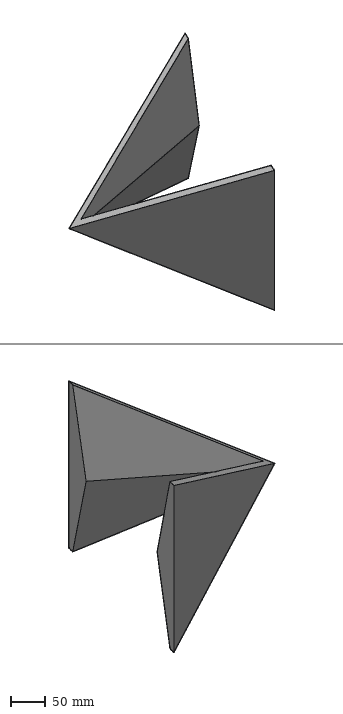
import cadquery as cq

width = 300.0
depth = 259.0
height = 300.0
edge_thickness = 11.5
ridge_thickness = 49.0
ridge_setback = 0.5

half_width = width / 2
half_height = height / 2
front_y = -depth / 2
back_y = depth / 2
edge_setback = ridge_setback * edge_thickness / ridge_thickness


def flat_face(*points):
    return cq.Face.makeFromWires(cq.Wire.makePolygon([cq.Vector(*p) for p in points], close=True))


def wing_blank():
    """Right-hand wing, running past the plane x = 0 at its front tip."""
    inner_x = half_width - edge_thickness
    inner_y = back_y - edge_setback
    inner_z = half_height * (inner_y - front_y) / depth
    tip = (0, front_y, 0)
    inner_tip = (-edge_thickness, front_y, 0)
    top = (half_width, back_y, half_height)
    bottom = (half_width, back_y, -half_height)
    inner_top = (inner_x, inner_y, inner_z)
    inner_bottom = (inner_x, inner_y, -inner_z)
    ridge_end = (half_width - ridge_thickness, back_y - ridge_setback, 0)
    faces = [
        flat_face(tip, bottom, top),
        flat_face(tip, top, inner_top, inner_tip),
        flat_face(tip, inner_tip, inner_bottom, bottom),
        flat_face(inner_tip, inner_top, ridge_end),
        flat_face(inner_tip, ridge_end, inner_bottom),
        flat_face(top, bottom, inner_bottom, ridge_end, inner_top),
    ]
    return cq.Workplane(cq.Solid.makeSolid(cq.Shell.makeShell(faces)))


right_side = cq.Workplane().box(width, 2 * depth, 2 * height, centered=(False, True, True))
right_wing = wing_blank().intersect(right_side)
result = right_wing.union(right_wing.mirror("YZ")).clean()